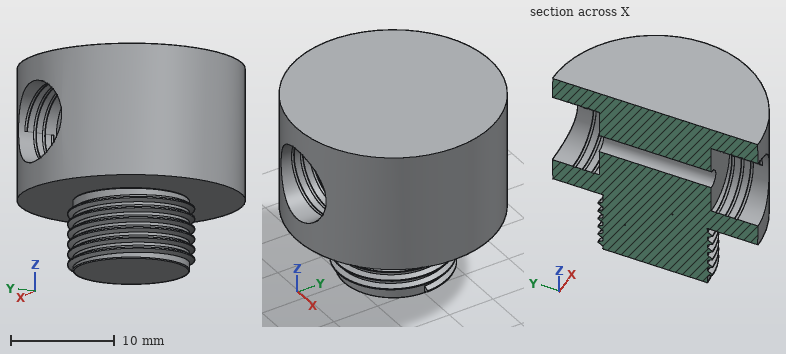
import cadquery as cq
import math

body_diameter = 22.0
body_height = 13.0
stud_height = 7.0
stud_core_diameter = 11.25
stud_end_chamfer = 0.1

stud_thread_height = 0.5
stud_thread_pitch = 1.0
stud_thread_turns = 6
stud_thread_crest_width = stud_thread_pitch / 8
stud_thread_start = (stud_height - stud_thread_turns * stud_thread_pitch) / 2

port_height = stud_height + body_height / 2
port_diameter = 8.0
port_depth = 5.0
cross_bore_diameter = 2.0

port_thread_depth = 0.05
port_thread_pitch = 1.0
port_thread_turns = 3
port_thread_bottom_width = port_thread_pitch / 4
port_thread_end_gap = 0.4

thread_flank_angle = 30.0

thread_overlap = 0.1


def make_thread(wall_radius, height, pitch, turns, tip_width, left_handed=False):
    """Helical trapezoid around Z, rising outward from a wall, centred on Z = 0 where it starts at +X."""
    tip_half = tip_width / 2
    inner_half = tip_half + (height + thread_overlap) * math.tan(math.radians(thread_flank_angle))
    inner_radius = wall_radius - thread_overlap
    tip_radius = wall_radius + height
    helix = cq.Wire.makeHelix(pitch, turns * pitch, wall_radius, lefthand=left_handed)
    profile = cq.Workplane("XZ").polyline([
        (inner_radius, -inner_half),
        (tip_radius, -tip_half),
        (tip_radius, tip_half),
        (inner_radius, inner_half),
    ]).close()
    return profile.sweep(cq.Workplane(obj=helix), isFrenet=True)


def make_stud():
    core = (
        cq.Workplane("XY")
        .circle(stud_core_diameter / 2)
        .extrude(stud_height)
        .faces("|Z")
        .chamfer(stud_end_chamfer)
    )
    thread = make_thread(
        stud_core_diameter / 2,
        stud_thread_height,
        stud_thread_pitch,
        stud_thread_turns,
        stud_thread_crest_width,
    )
    return core.union(thread.translate((0, 0, stud_thread_start)))


def make_port():
    """Threaded socket that opens on the -Y side of the body."""
    socket = cq.Workplane("XY").circle(port_diameter / 2).extrude(port_depth)
    thread = make_thread(
        port_diameter / 2,
        port_thread_depth,
        port_thread_pitch,
        port_thread_turns,
        port_thread_bottom_width,
        left_handed=True,
    )
    socket = socket.union(thread.translate((0, 0, port_thread_end_gap)))
    floor_y = port_depth - body_diameter / 2
    return socket.rotate((0, 0, 0), (1, 0, 0), 90).translate((0, floor_y, port_height))


def make_body():
    body = cq.Workplane("XY").workplane(offset=stud_height).circle(body_diameter / 2).extrude(body_height)
    cross_bore = (
        cq.Workplane("XZ")
        .center(0, port_height)
        .circle(cross_bore_diameter / 2)
        .extrude(body_diameter / 2, both=True)
    )
    front_port = make_port()
    back_port = front_port.mirror("XZ")
    return body.cut(cross_bore).cut(front_port).cut(back_port)


result = make_body().union(make_stud())